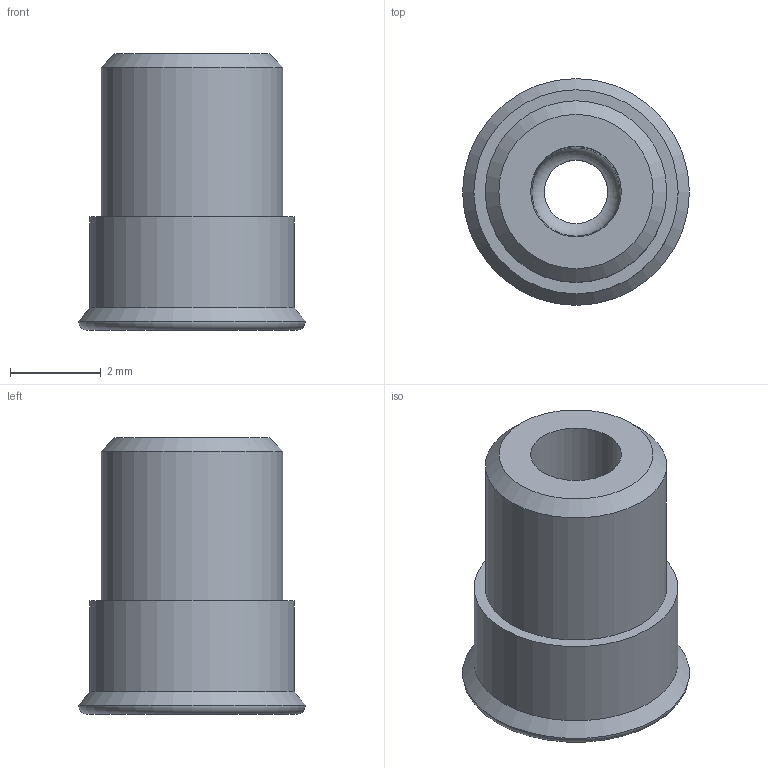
import cadquery as cq
import math

tip_diameter = 4.0
collar_diameter = 4.5
flange_diameter = 5.0
bore_diameter = 2.0
seat_diameter = 1.95
mouth_diameter = 1.4

flange_rim_height = 0.2
flange_cone_height = 0.3
collar_height = 2.0
tip_height = 3.6

tip_chamfer = 0.3
rim_radius = flange_rim_height

mouth_length = 0.5
seat_radius = 0.45
taper_height = 0.3

collar_base = flange_rim_height + flange_cone_height
collar_top = collar_base + collar_height
total_height = collar_top + tip_height

seat_center_offset = seat_diameter / 2 - seat_radius
mouth_offset = mouth_diameter / 2 - seat_center_offset
seat_height = math.sqrt(seat_radius**2 - mouth_offset**2)
seat_top = mouth_length + seat_height
bore_base = seat_top + taper_height
seat_sweep = math.degrees(math.asin(seat_height / seat_radius))


def point_below(center, radius, angle):
    """Point on a circle, `angle` degrees down from its outermost point."""
    turn = math.radians(angle)
    return center[0] + radius * math.cos(turn), center[1] - radius * math.sin(turn)


def outer_body():
    """Solid of revolution: rounded conical flange, collar and chamfered tip."""
    rim_center = (flange_diameter / 2 - rim_radius, rim_radius)
    outline = (
        cq.Workplane("XZ")
        .lineTo(rim_center[0], 0)
        .threePointArc(point_below(rim_center, rim_radius, 45), (flange_diameter / 2, flange_rim_height))
        .lineTo(collar_diameter / 2, collar_base)
        .lineTo(collar_diameter / 2, collar_top)
        .lineTo(tip_diameter / 2, collar_top)
        .lineTo(tip_diameter / 2, total_height - tip_chamfer)
        .lineTo(tip_diameter / 2 - tip_chamfer, total_height)
        .lineTo(0, total_height)
        .close()
    )
    return outline.revolve(360, (0, 0, 0), (0, 1, 0))


def inner_passage():
    """Through passage: straight bore, slight taper, rounded seat and narrow mouth."""
    seat_center = (seat_center_offset, seat_top)
    outline = (
        cq.Workplane("XZ")
        .lineTo(mouth_diameter / 2, 0)
        .lineTo(mouth_diameter / 2, mouth_length)
        .threePointArc(point_below(seat_center, seat_radius, seat_sweep / 2), (seat_diameter / 2, seat_top))
        .lineTo(bore_diameter / 2, bore_base)
        .lineTo(bore_diameter / 2, total_height)
        .lineTo(0, total_height)
        .close()
    )
    return outline.revolve(360, (0, 0, 0), (0, 1, 0))


result = outer_body().cut(inner_passage())